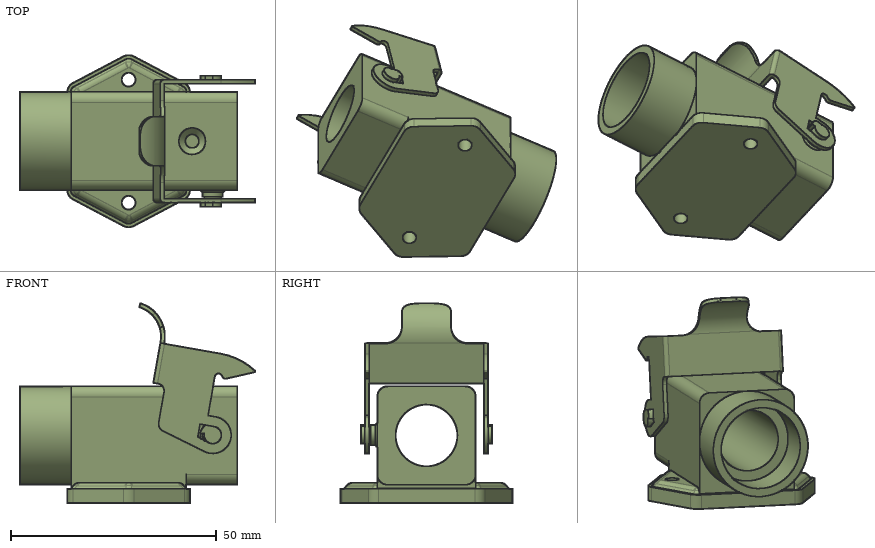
import cadquery as cq
import math


FLANGE_LENGTH = 30.0
FLANGE_WIDTH = 42.0
FLANGE_THICKNESS = 3.5
FLANGE_SLOPE = 27.8
FLANGE_CORNER_RADIUS = 2.7
MOUNTING_HOLE_DIAMETER = 3.3
MOUNTING_HOLE_Y = 15.0

PAD_INSET = 0.9
PAD_HEIGHT = 1.5
PAD_DRAFT = 37.0
PAD_EDGE_RADIUS = 1.85

HOUSING_WIDTH = 24.0
HOUSING_BACK_X = -14.0
HOUSING_STEP_X = 14.0
HOUSING_FRONT_X = 26.5
HOUSING_TOP_Z = 28.5
HOUSING_EDGE_RADIUS = 2.5

ENTRY_DIAMETER = HOUSING_WIDTH
ENTRY_END_X = -26.5
ENTRY_BORE_DIAMETER = 20.0
ENTRY_LEDGE_X = -15.5
HOUSING_BORE_DIAMETER = 15.0
BORE_AXIS_Z = HOUSING_TOP_Z - ENTRY_DIAMETER / 2
HOUSING_OVERHANG_Z = BORE_AXIS_Z - ENTRY_DIAMETER / 2

RECESS_X = 15.5
RECESS_DIAMETER = 6.5
RECESS_FLOOR_DIAMETER = 3.3

PIVOT_X = 20.5
PIVOT_Z = 16.6
LEVER_TILT = 10.0
LEVER_WIDTH = 30.0
SHEET = 1.0
BEND_RADIUS = 1.0
STRAP_BACK_U = -16.5
STRAP_BOTTOM_V = 10.0
STRAP_TOP_V = 19.9
EYE_RADIUS = 4.5
ARM_BACK_U = -13.5
ARM_FRONT_U = -1.95
ARM_BOTTOM_SLOPE = 16.4
ARM_CORNER_RADIUS = 2.0
RELIEF_RADIUS = 1.8
HOOK_CURVE_U = -1.55
HOOK_TIP = (7.78, 17.0)
HOOK_TIP_RADIUS = 0.27
HOOK_HEEL = (0.3, 13.85)
HOOK_HEEL_RADIUS = 0.8
NOTCH_RADIUS = 0.9
NOTCH_CENTRE_V = 14.1
NOTCH_END_ANGLE = 40.0

TAB_WIDTH = 12.0
TAB_OUTER_RADIUS = 8.5
TAB_SWEEP = 83.0
TAB_CORNER_RADIUS = 4.0
TAB_RISE = 0.25
TAB_CENTRE_U = STRAP_BACK_U + SHEET - TAB_OUTER_RADIUS
TAB_CENTRE_V = STRAP_TOP_V + TAB_RISE

STUD_RADIUS = 2.1
STUD_PROUD = 1.0
STUD_WING_RADIUS = 3.05
STUD_WING_BOTTOM_Z = 16.95
SLOT_BACK_U = -3.5
SLOT_BACK_BOTTOM_V = -1.05
BOSS_RADIUS = 2.5
BOSS_LENGTH = 1.6
BOSS_ROOT_RADIUS = 0.5


def hexagon(inset):
    """Flange outline with sharp corners, every side moved inwards by inset."""
    slope = math.radians(FLANGE_SLOPE)
    apex_rounding = FLANGE_CORNER_RADIUS * (1 / math.cos(slope) - 1)
    apex_y = FLANGE_WIDTH / 2 + apex_rounding - inset / math.cos(slope)
    side_x = FLANGE_LENGTH / 2 - inset
    side_y = apex_y - side_x * math.tan(slope)
    upper = [(side_x, side_y), (0, apex_y), (-side_x, side_y)]
    return upper + [(-x, -y) for x, y in upper]


def make_flange():
    """Flange plate with the rounded, sloped pad on it."""
    plate = cq.Workplane("XY").polyline(hexagon(0)).close().extrude(FLANGE_THICKNESS)
    plate = plate.edges("|Z").fillet(FLANGE_CORNER_RADIUS)
    pad = cq.Workplane("XY").workplane(offset=FLANGE_THICKNESS).polyline(hexagon(PAD_INSET)).close()
    pad = pad.extrude(PAD_HEIGHT, taper=PAD_DRAFT)
    pad = pad.edges("not #Z").fillet(PAD_EDGE_RADIUS)
    pad = pad.faces(">Z").edges().fillet(PAD_EDGE_RADIUS)
    return plate.union(pad)


def make_housing():
    """Rounded rectangular block, with a square foot down to the flange behind the step."""
    length = HOUSING_FRONT_X - HOUSING_BACK_X
    height = HOUSING_TOP_Z - HOUSING_OVERHANG_Z
    on_corner = (False, True, False)
    shell = cq.Workplane("XY").box(length, HOUSING_WIDTH, height, centered=on_corner)
    shell = shell.edges("|X").fillet(HOUSING_EDGE_RADIUS)
    shell = shell.translate((HOUSING_BACK_X, 0, HOUSING_OVERHANG_Z))
    foot_length = HOUSING_STEP_X - HOUSING_BACK_X
    foot = cq.Workplane("XY").box(foot_length, HOUSING_WIDTH, BORE_AXIS_Z, centered=on_corner)
    return shell.union(foot.translate((HOUSING_BACK_X, 0, 0)))


def cylinder_x(diameter, start_x, end_x):
    """Cylinder on the bore axis between two X positions."""
    plane = cq.Workplane("YZ", origin=(start_x, 0, BORE_AXIS_Z))
    return plane.circle(diameter / 2).extrude(end_x - start_x)


def screw_recess():
    """Blind 45 degree cone sunk into the housing top."""
    depth = (RECESS_DIAMETER - RECESS_FLOOR_DIAMETER) / 2
    top = cq.Workplane("XY", origin=(RECESS_X, 0, HOUSING_TOP_Z)).circle(RECESS_DIAMETER / 2)
    return top.workplane(offset=-depth).circle(RECESS_FLOOR_DIAMETER / 2).loft()


def across(y):
    """Workplane at the given Y whose local axes are U and V, with extrusion towards -Y."""
    return cq.Workplane("XZ", origin=(0, y, 0))


def polar(radius, degrees):
    """Point at a radius and an angle from the local origin."""
    angle = math.radians(degrees)
    return (radius * math.cos(angle), radius * math.sin(angle))


def lever_profile():
    """Solid block with the side outline of the lever: strap, arm, pivot eye and hook."""
    tangent = polar(EYE_RADIUS, -90 - ARM_BOTTOM_SLOPE)
    corner_v = tangent[1] + (tangent[0] - ARM_BACK_U) * math.tan(math.radians(ARM_BOTTOM_SLOPE))
    notch_u = ARM_FRONT_U + NOTCH_RADIUS
    notch_end = polar(NOTCH_RADIUS, NOTCH_END_ANGLE)
    plate = (
        across(LEVER_WIDTH / 2)
        .moveTo(STRAP_BACK_U, STRAP_TOP_V)
        .lineTo(HOOK_CURVE_U, STRAP_TOP_V)
        .tangentArcPoint(HOOK_TIP, relative=False)
        .lineTo(*HOOK_HEEL)
        .lineTo(notch_u + notch_end[0], NOTCH_CENTRE_V + notch_end[1])
        .threePointArc((notch_u, NOTCH_CENTRE_V + NOTCH_RADIUS), (ARM_FRONT_U, NOTCH_CENTRE_V))
        .lineTo(ARM_FRONT_U, EYE_RADIUS)
        .lineTo(0, EYE_RADIUS)
        .threePointArc((EYE_RADIUS, 0), tangent)
        .lineTo(ARM_BACK_U, corner_v)
        .lineTo(ARM_BACK_U, STRAP_BOTTOM_V)
        .lineTo(STRAP_BACK_U, STRAP_BOTTOM_V)
        .close()
        .extrude(LEVER_WIDTH)
    )
    arm_corner = cq.selectors.NearestToPointSelector((ARM_BACK_U, 0, corner_v))
    relief = cq.selectors.NearestToPointSelector((ARM_BACK_U, 0, STRAP_BOTTOM_V))
    tip = cq.selectors.NearestToPointSelector((HOOK_TIP[0], 0, HOOK_TIP[1]))
    heel = cq.selectors.NearestToPointSelector((HOOK_HEEL[0], 0, HOOK_HEEL[1]))
    plate = plate.edges(arm_corner).fillet(ARM_CORNER_RADIUS)
    plate = plate.edges(tip).fillet(HOOK_TIP_RADIUS)
    plate = plate.edges(heel).fillet(HOOK_HEEL_RADIUS)
    return plate.edges(relief).fillet(RELIEF_RADIUS)


def make_bracket():
    """Sheet-metal U: two side plates joined by the strap."""
    solid = lever_profile()
    solid = solid.faces("<X").edges("|Z").fillet(BEND_RADIUS)
    inner_width = LEVER_WIDTH - 2 * SHEET
    length = HOOK_TIP[0] - STRAP_BACK_U
    height = 2 * (STRAP_TOP_V + SHEET)
    inside = cq.Workplane("XY").box(length, inner_width, height, centered=(False, True, True))
    return solid.cut(inside.translate((STRAP_BACK_U + SHEET, 0, 0)))


def tab_sector(start, sweep, width):
    """Curled sheet between two angles about the tab centre."""
    inner = TAB_OUTER_RADIUS - SHEET
    points = [
        polar(TAB_OUTER_RADIUS, start),
        polar(TAB_OUTER_RADIUS, start + sweep / 2),
        polar(TAB_OUTER_RADIUS, start + sweep),
        polar(inner, start + sweep),
        polar(inner, start + sweep / 2),
        polar(inner, start),
    ]
    outline = across(width / 2).center(TAB_CENTRE_U, TAB_CENTRE_V).moveTo(*points[0])
    outline = outline.threePointArc(points[1], points[2]).lineTo(*points[3])
    return outline.threePointArc(points[4], points[5]).close().extrude(width)


def radial_plane(angle):
    """Plane on the tab centre facing outwards at angle; local x is Y, local y runs along the curl."""
    normal = polar(1, angle)
    centre = (TAB_CENTRE_U, 0, TAB_CENTRE_V)
    return cq.Workplane(cq.Plane(origin=centre, xDir=(0, 1, 0), normal=(normal[0], 0, normal[1])))


def make_tab():
    """Curled tab, flared where it leaves the strap and rounded at its tip corners."""
    radius = TAB_CORNER_RADIUS
    corner_sweep = math.degrees(radius / TAB_OUTER_RADIUS)
    flare_width = TAB_WIDTH + 2 * radius
    reach = 2 * TAB_OUTER_RADIUS

    flare = tab_sector(0, corner_sweep, flare_width)
    rise = cq.Workplane("XY").box(SHEET, flare_width, TAB_RISE, centered=(False, True, False))
    flare = flare.union(rise.translate((STRAP_BACK_U, 0, STRAP_TOP_V)))
    flare_centres = [(side * flare_width / 2, radius - TAB_RISE) for side in (-1, 1)]
    flare = flare.cut(radial_plane(0).pushPoints(flare_centres).circle(radius).extrude(reach))

    blade = tab_sector(0, TAB_SWEEP, TAB_WIDTH)
    tip_plane = radial_plane(TAB_SWEEP - corner_sweep / 2)
    tip_y = (TAB_OUTER_RADIUS - SHEET / 2) * math.sin(math.radians(corner_sweep / 2))
    round_y = tip_y - radius
    for side in (-1, 1):
        round_x = side * (TAB_WIDTH / 2 - radius)
        block = tip_plane.center(round_x + side * radius, round_y + radius)
        block = block.rect(2 * radius, 2 * radius).extrude(reach)
        rounding = tip_plane.center(round_x, round_y).circle(radius).extrude(reach)
        blade = blade.cut(block.cut(rounding))
    return flare.union(blade)


def slot_prism():
    """Teardrop of the pivot slot, running right across the lever."""
    back_bottom = (SLOT_BACK_U, SLOT_BACK_BOTTOM_V)
    back_angle = math.degrees(math.atan2(-back_bottom[1], -back_bottom[0])) + 180
    tangent_angle = back_angle + math.degrees(math.acos(STUD_RADIUS / math.hypot(*back_bottom)))
    return (
        across(LEVER_WIDTH / 2 + STUD_PROUD)
        .moveTo(SLOT_BACK_U, STUD_RADIUS)
        .lineTo(0, STUD_RADIUS)
        .threePointArc((STUD_RADIUS, 0), polar(STUD_RADIUS, tangent_angle))
        .lineTo(*back_bottom)
        .close()
        .extrude(LEVER_WIDTH + 2 * STUD_PROUD)
    )


def place_lever(body):
    """Move a body from the lever's own axes to its tilted place on the housing."""
    return body.rotate((0, 0, 0), (0, 1, 0), LEVER_TILT).translate((PIVOT_X, 0, PIVOT_Z))


def make_lever():
    """Slotted bracket with its thumb tab, set in place on the housing."""
    bracket = make_bracket().cut(slot_prism()).union(make_tab())
    return place_lever(bracket)


def make_stud(side):
    """Stud through one side plate, with a wing that keeps to the upper part of the slot."""
    length = SHEET + STUD_PROUD
    outer_y = LEVER_WIDTH / 2 + STUD_PROUD
    start_y = outer_y if side > 0 else length - outer_y
    plane = cq.Workplane("XZ", origin=(PIVOT_X, start_y, PIVOT_Z))
    pin = plane.circle(STUD_RADIUS).extrude(length)
    size = STUD_WING_RADIUS
    upper_left = plane.center(-size / 2, STUD_WING_BOTTOM_Z - PIVOT_Z + size / 2)
    upper_left = upper_left.rect(size, size).extrude(length)
    wing = plane.circle(STUD_WING_RADIUS).extrude(length)
    wing = wing.intersect(upper_left).intersect(place_lever(slot_prism()))
    return pin.union(wing)


def make_pivot_boss():
    """Stepped boss on the -Y wall of the housing, reaching to the stud."""
    wall_y = -HOUSING_WIDTH / 2
    plane = cq.Workplane("XZ", origin=(PIVOT_X, wall_y, PIVOT_Z))
    neck = plane.circle(STUD_RADIUS).extrude(LEVER_WIDTH / 2 - SHEET + wall_y)
    boss = plane.circle(BOSS_RADIUS).extrude(BOSS_LENGTH)
    root = plane.circle(BOSS_RADIUS + BOSS_ROOT_RADIUS).workplane(offset=BOSS_ROOT_RADIUS)
    root = root.circle(BOSS_RADIUS).loft()
    return neck.union(boss).union(root)


def mounting_holes():
    """Two holes through the pad and flange."""
    places = [(0, side * MOUNTING_HOLE_Y) for side in (-1, 1)]
    depth = FLANGE_THICKNESS + PAD_HEIGHT
    return cq.Workplane("XY").pushPoints(places).circle(MOUNTING_HOLE_DIAMETER / 2).extrude(depth)


body = make_flange().union(make_housing())
body = body.union(cylinder_x(ENTRY_DIAMETER, ENTRY_END_X, HOUSING_BACK_X))
body = body.cut(cylinder_x(ENTRY_BORE_DIAMETER, ENTRY_END_X, ENTRY_LEDGE_X))
body = body.cut(cylinder_x(HOUSING_BORE_DIAMETER, ENTRY_LEDGE_X, HOUSING_FRONT_X))
body = body.cut(screw_recess()).cut(mounting_holes())

result = body.union(make_pivot_boss()).union(make_lever())
for stud_side in (-1, 1):
    result = result.union(make_stud(stud_side))